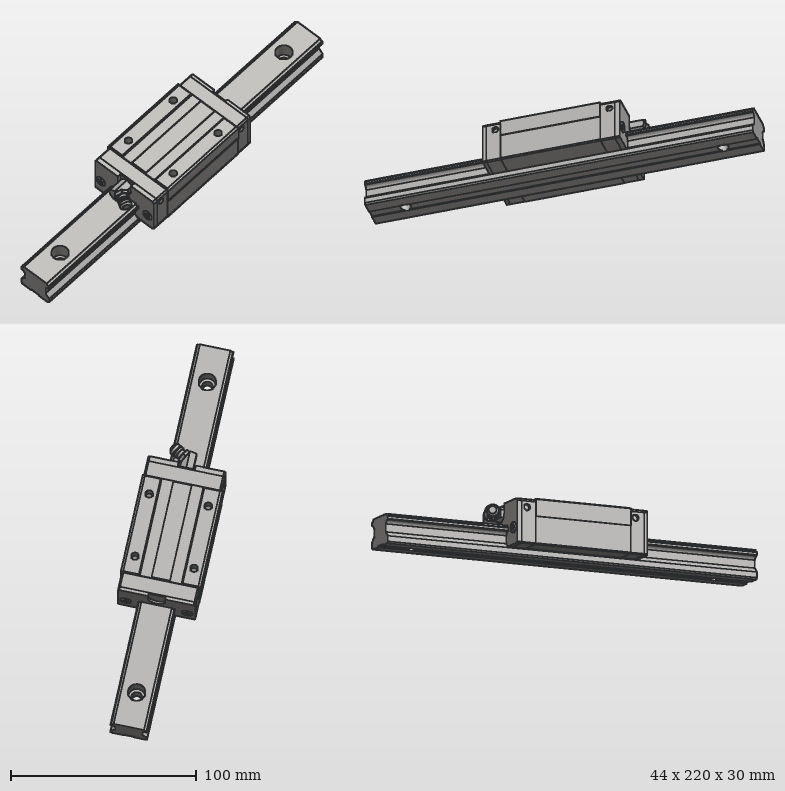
import cadquery as cq
import math

RAIL_LENGTH = 220.0
RAIL_HALF_WIDTH = 10.1
RAIL_TOP_HALF_WIDTH = 8.4
RAIL_WAIST_HALF_WIDTH = 7.5
RAIL_HEIGHT = 16.5
FOOT_HEIGHT = 4.0
WAIST_BOTTOM = 6.5
WAIST_TOP = 11.0
HEAD_BOTTOM = 13.5
HEAD_TOP = 14.7
GROOVE_BEVEL = 0.5
BALL_GROOVE_SAG = 0.5
FOOT_CHAMFER = 0.9
RELIEF_WIDTH = 5.3
RELIEF_DEPTH = 0.7
RAIL_HOLE_DIAMETER = 6.0
RAIL_HOLE_PITCH = 180.0
COUNTERBORE_DIAMETER = 9.5
COUNTERBORE_DEPTH = 8.8

BLOCK_CENTER_Y = 1.0
BLOCK_LENGTH = 56.5
CAP_LENGTH = 8.1
FRONT_SEAL_LENGTH = 2.9
REAR_SEAL_LENGTH = 2.0
CARRIAGE_BOTTOM = 4.6
BOTTOM_CHAMFER = 0.7

BLOCK_HALF_WIDTH = 22.0
BLOCK_LOWER_HALF_WIDTH = 21.5
BLOCK_TOP = 30.0
BLOCK_STEP_HEIGHT = 20.0
TOP_CHAMFER_WIDTH = 1.3
TOP_CHAMFER_HEIGHT = 0.7
TOP_END_CHAMFER = 0.7
CENTER_PAD_HALF_WIDTH = 5.0
SIDE_PAD_INNER_X = 12.0
CHANNEL_WALL_RUN = 0.7
CHANNEL_DEPTH = 0.5
MOUNT_HOLE_DIAMETER = 4.2
MOUNT_HOLE_DEPTH = 6.0
DRILL_POINT_ANGLE = 118.0
MOUNT_HOLE_X = 16.3
MOUNT_HOLE_PITCH = 36.0

CAP_HALF_WIDTH = 21.3
CAP_TOP = 29.3
CAP_CHAMFER_WIDTH = 0.9
CAP_CHAMFER_HEIGHT = 1.3
SIDE_HOLE_DIAMETER = 3.5
SIDE_HOLE_DEPTH = 1.8
SIDE_HOLE_Y = 32.3
SIDE_HOLE_Z = 24.6
NIPPLE_Z = 24.0
SLOT_DIAMETER = 9.5
SLOT_WEB = 0.7
SCREW_X = 17.0
SCREW_Z = 13.9
SCREW_HEAD_DIAMETER = 6.0
SCREW_HEAD_HEIGHT = 0.7
SCREW_HEAD_ROUND = 0.5
CROSS_LENGTH = 2.9
CROSS_WIDTH = 0.9
CROSS_DEPTH = 0.5

HEX_FLATS = 7.3
SHANK_END_Y = -46.0
ELBOW_ANGLE = 60.0
ELBOW_HEX_END = 4.2
SHANK_END_CHAMFER = 0.5
NECK_DIAMETER = 5.5
COLLAR_START = 6.4
COLLAR_END = 8.0
HEAD_START = 8.4
HEAD_STRAIGHT_END = 10.3
NIPPLE_END = 11.5
COLLAR_DIAMETER = 6.5
TIP_DIAMETER = 4.2

HEX_CORNER_DIAMETER = HEX_FLATS / math.cos(math.radians(30))

BLOCK_FRONT_Y = BLOCK_CENTER_Y - BLOCK_LENGTH / 2
BLOCK_REAR_Y = BLOCK_CENTER_Y + BLOCK_LENGTH / 2
CAP_FRONT_Y = BLOCK_FRONT_Y - CAP_LENGTH
CAP_REAR_Y = BLOCK_REAR_Y + CAP_LENGTH
SEAL_FRONT_Y = CAP_FRONT_Y - FRONT_SEAL_LENGTH
SEAL_REAR_Y = CAP_REAR_Y + REAR_SEAL_LENGTH


def section_plane(y):
    """Plane across the rail at y: local x is X, local y is Z, extrusions run toward -Y."""
    return cq.Workplane("XZ", origin=(0, y, 0))


def symmetric_section(right_points, y_start, y_end):
    """Bar along Y whose section is the given right-hand outline and its mirror image."""
    left_points = [(-x, z) for x, z in reversed(right_points) if x > 0]
    return section_plane(y_end).polyline(right_points + left_points).close().extrude(y_end - y_start)


def groove_bottom(start, end):
    """Deepest point of a ball groove on the right flange, running upward from start to end."""
    run = end[0] - start[0]
    rise = end[1] - start[1]
    depth_ratio = BALL_GROOVE_SAG / math.hypot(run, rise)
    return ((start[0] + end[0]) / 2 - depth_ratio * rise, (start[1] + end[1]) / 2 + depth_ratio * run)


def rail_bar(y_start, y_end):
    """Rail section without its bottom relief: each flange has a concave ball groove above and one below."""
    under_start = (RAIL_WAIST_HALF_WIDTH, WAIST_TOP)
    under_end = (RAIL_HALF_WIDTH - GROOVE_BEVEL, HEAD_BOTTOM - GROOVE_BEVEL)
    over_start = (RAIL_HALF_WIDTH - GROOVE_BEVEL, HEAD_TOP + GROOVE_BEVEL)
    over_end = (RAIL_TOP_HALF_WIDTH, RAIL_HEIGHT)
    right_half = (
        section_plane(y_end)
        .lineTo(RAIL_HALF_WIDTH - FOOT_CHAMFER, 0)
        .lineTo(RAIL_HALF_WIDTH, FOOT_CHAMFER)
        .lineTo(RAIL_HALF_WIDTH, FOOT_HEIGHT)
        .lineTo(RAIL_WAIST_HALF_WIDTH, WAIST_BOTTOM)
        .lineTo(*under_start)
        .threePointArc(groove_bottom(under_start, under_end), under_end)
        .lineTo(RAIL_HALF_WIDTH, HEAD_BOTTOM)
        .lineTo(RAIL_HALF_WIDTH, HEAD_TOP)
        .lineTo(*over_start)
        .threePointArc(groove_bottom(over_start, over_end), over_end)
        .lineTo(0, RAIL_HEIGHT)
        .close()
        .extrude(y_end - y_start)
    )
    return right_half.union(right_half.mirror("YZ")).clean()


def make_rail():
    """Full-length rail with a bottom relief and two counterbored mounting holes."""
    relief = cq.Workplane("XY").box(RELIEF_WIDTH, RAIL_LENGTH, 2 * RELIEF_DEPTH)
    return (
        rail_bar(-RAIL_LENGTH / 2, RAIL_LENGTH / 2)
        .cut(relief)
        .copyWorkplane(cq.Workplane("XY", origin=(0, 0, RAIL_HEIGHT)))
        .rarray(2.2, RAIL_HOLE_PITCH, 1, 2)
        .cboreHole(RAIL_HOLE_DIAMETER, COUNTERBORE_DIAMETER, COUNTERBORE_DEPTH)
    )


def make_mount_hole_tool(x, y):
    """Blind drilled hole with a conical bottom, revolved about its own axis."""
    radius = MOUNT_HOLE_DIAMETER / 2
    point_depth = radius / math.tan(math.radians(DRILL_POINT_ANGLE / 2))
    return (
        cq.Workplane("XZ")
        .polyline([(0, 0), (radius, 0), (radius, -MOUNT_HOLE_DEPTH), (0, -MOUNT_HOLE_DEPTH - point_depth)])
        .close()
        .revolve(360, (0, 0, 0), (0, 1, 0))
        .translate((x, y, BLOCK_TOP))
    )


def make_end_chamfer_envelope():
    """Slab as long as the block whose top edges are chamfered at both ends."""
    return (
        cq.Workplane("XY", origin=(0, BLOCK_CENTER_Y, 0))
        .rect(2 * BLOCK_HALF_WIDTH, BLOCK_LENGTH)
        .extrude(BLOCK_TOP)
        .faces(">Z")
        .edges("|X")
        .chamfer(TOP_END_CHAMFER)
    )


def make_block():
    """Carriage block: raised pads on top, two shallow channels and four mounting holes."""
    channel_floor = BLOCK_TOP - CHANNEL_DEPTH
    block = symmetric_section(
        [
            (0, CARRIAGE_BOTTOM),
            (BLOCK_LOWER_HALF_WIDTH - BOTTOM_CHAMFER, CARRIAGE_BOTTOM),
            (BLOCK_LOWER_HALF_WIDTH, CARRIAGE_BOTTOM + BOTTOM_CHAMFER),
            (BLOCK_LOWER_HALF_WIDTH, BLOCK_STEP_HEIGHT),
            (BLOCK_HALF_WIDTH, BLOCK_STEP_HEIGHT),
            (BLOCK_HALF_WIDTH, BLOCK_TOP - TOP_CHAMFER_HEIGHT),
            (BLOCK_HALF_WIDTH - TOP_CHAMFER_WIDTH, BLOCK_TOP),
            (SIDE_PAD_INNER_X, BLOCK_TOP),
            (SIDE_PAD_INNER_X - CHANNEL_WALL_RUN, channel_floor),
            (CENTER_PAD_HALF_WIDTH, channel_floor),
            (CENTER_PAD_HALF_WIDTH, BLOCK_TOP),
        ],
        BLOCK_FRONT_Y,
        BLOCK_REAR_Y,
    ).cut(rail_bar(BLOCK_FRONT_Y, BLOCK_REAR_Y))
    block = block.intersect(make_end_chamfer_envelope())
    for x in (-MOUNT_HOLE_X, MOUNT_HOLE_X):
        for y_offset in (-MOUNT_HOLE_PITCH / 2, MOUNT_HOLE_PITCH / 2):
            block = block.cut(make_mount_hole_tool(x, BLOCK_CENTER_Y + y_offset))
    return block


def end_plate(y_start, y_end):
    """Plate with the end outline of the carriage, fitted around the rail."""
    return symmetric_section(
        [
            (0, CARRIAGE_BOTTOM),
            (CAP_HALF_WIDTH - BOTTOM_CHAMFER, CARRIAGE_BOTTOM),
            (CAP_HALF_WIDTH, CARRIAGE_BOTTOM + BOTTOM_CHAMFER),
            (CAP_HALF_WIDTH, CAP_TOP - CAP_CHAMFER_HEIGHT),
            (CAP_HALF_WIDTH - CAP_CHAMFER_WIDTH, CAP_TOP),
        ],
        y_start,
        y_end,
    ).cut(rail_bar(y_start, y_end))


def make_cap(y_start, y_end, hole_y):
    """End cap with a blind hole in each side."""
    cap = end_plate(y_start, y_end)
    for side in (-1, 1):
        hole = (
            cq.Workplane("YZ", origin=(side * CAP_HALF_WIDTH, hole_y, SIDE_HOLE_Z))
            .circle(SIDE_HOLE_DIAMETER / 2)
            .extrude(-side * SIDE_HOLE_DEPTH)
        )
        cap = cap.cut(hole)
    return cap


def make_screw_head(x, face_y, outward):
    """Round head with a cross recess, standing out of a seal face in the given Y direction."""
    head = (
        cq.Workplane("XY")
        .circle(SCREW_HEAD_DIAMETER / 2)
        .extrude(SCREW_HEAD_HEIGHT)
        .faces(">Z")
        .edges()
        .fillet(SCREW_HEAD_ROUND)
        .faces(">Z")
        .workplane()
        .rect(CROSS_LENGTH, CROSS_WIDTH)
        .cutBlind(-CROSS_DEPTH)
        .faces(">Z")
        .workplane()
        .rect(CROSS_WIDTH, CROSS_LENGTH)
        .cutBlind(-CROSS_DEPTH)
    )
    return head.rotate((0, 0, 0), (1, 0, 0), -90 * outward).translate((x, face_y, SCREW_Z))


def make_seal(y_start, y_end, outward):
    """Seal plate with a U-shaped nipple slot in its top edge and two screw heads on its outer face."""
    outer_face_y = y_end if outward > 0 else y_start
    slot_rear_y = y_end if outward > 0 else y_end - SLOT_WEB
    slot_depth = y_end - y_start - SLOT_WEB
    slot_height = BLOCK_TOP - NIPPLE_Z
    slot = section_plane(slot_rear_y).center(0, NIPPLE_Z).circle(SLOT_DIAMETER / 2).extrude(slot_depth)
    slot = slot.union(
        section_plane(slot_rear_y)
        .center(0, NIPPLE_Z + slot_height / 2)
        .rect(SLOT_DIAMETER, slot_height)
        .extrude(slot_depth)
    )
    seal = end_plate(y_start, y_end).cut(slot)
    for x in (-SCREW_X, SCREW_X):
        seal = seal.union(make_screw_head(x, outer_face_y, outward))
    return seal


def make_turned_head():
    """Neck, collar, groove and tapered tip of the nipple, turned about the Y axis and pointing to -Y."""
    neck_radius = NECK_DIAMETER / 2
    collar_radius = COLLAR_DIAMETER / 2
    return (
        cq.Workplane("XY")
        .polyline(
            [
                (0, -ELBOW_HEX_END),
                (neck_radius, -ELBOW_HEX_END),
                (neck_radius, -COLLAR_START),
                (collar_radius, -COLLAR_START),
                (collar_radius, -COLLAR_END),
                (neck_radius, -COLLAR_END),
                (neck_radius, -HEAD_START),
                (collar_radius, -HEAD_START),
                (collar_radius, -HEAD_STRAIGHT_END),
                (TIP_DIAMETER / 2, -NIPPLE_END),
                (0, -NIPPLE_END),
            ]
        )
        .close()
        .revolve(360, (0, 0, 0), (0, 1, 0))
    )


def hex_bar(y_start, y_end):
    """Hexagonal bar on the Y axis with a corner on top."""
    return (
        section_plane(y_start)
        .transformed(rotate=(0, 0, 90))
        .polygon(6, HEX_CORNER_DIAMETER)
        .extrude(y_start - y_end)
    )


def make_nipple():
    """Grease nipple: a hexagonal shank on the front seal and a slanted hexagonal elbow with a turned head.

    The elbow is made along -Y and turned about Z, so that its near flat meets the middle of the shank's end.
    """
    seat_y = CAP_FRONT_Y - SLOT_WEB
    elbow_origin_y = SHANK_END_Y + HEX_FLATS / 2 / math.sin(math.radians(ELBOW_ANGLE))
    elbow_start = HEX_FLATS / 2 / math.tan(math.radians(ELBOW_ANGLE))

    def turn_to_elbow(shape):
        return shape.rotate((0, 0, 0), (0, 0, 1), ELBOW_ANGLE).translate((0, elbow_origin_y, NIPPLE_Z))

    end_rounding = (
        section_plane(seat_y)
        .circle(HEX_CORNER_DIAMETER / 2)
        .extrude(seat_y - SHANK_END_Y)
        .faces("<Y")
        .chamfer(SHANK_END_CHAMFER)
    )
    shank = hex_bar(seat_y, SHANK_END_Y).intersect(end_rounding).translate((0, 0, NIPPLE_Z))
    beyond_slant = section_plane(-elbow_start).circle(2 * HEX_FLATS).extrude(HEX_FLATS)
    elbow = hex_bar(-elbow_start, -ELBOW_HEX_END).union(make_turned_head())
    return shank.cut(turn_to_elbow(beyond_slant)).union(turn_to_elbow(elbow))


rail = make_rail()
block = make_block()
caps = [
    make_cap(CAP_FRONT_Y, BLOCK_FRONT_Y, -SIDE_HOLE_Y),
    make_cap(BLOCK_REAR_Y, CAP_REAR_Y, SIDE_HOLE_Y),
]
seals = [
    make_seal(SEAL_FRONT_Y, CAP_FRONT_Y, -1),
    make_seal(CAP_REAR_Y, SEAL_REAR_Y, 1),
]
nipple = make_nipple()

result = cq.Compound.makeCompound(
    [rail.val(), block.val(), *[cap.val() for cap in caps], *[seal.val() for seal in seals], nipple.val()]
)